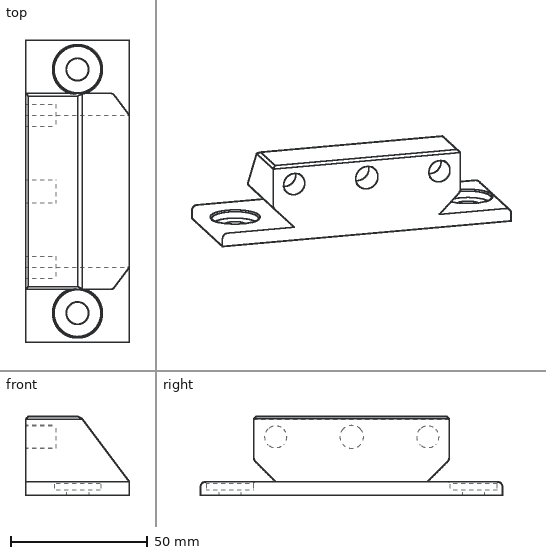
import cadquery as cq

WIDTH = 38.1
LENGTH = 111.0
HEIGHT = 29.0
PLATE_THICKNESS = 5.0
PLATE_EDGE_RADIUS = 2.0

BLOCK_LENGTH = 71.9
FOOT_LENGTH = 55.8
SHOULDER_RADIUS = 2.4
TOP_WIDTH = 20.1
TOP_CHAMFER = 1.0

MOUNT_SPACING = 89.5
MOUNT_DIAMETER = 8.1
COUNTERBORE_DIAMETER = 17.2
COUNTERBORE_DEPTH = 3.0
COUNTERBORE_CHAMFER = 0.5

SIDE_HOLE_HEIGHT = 21.5
SIDE_HOLE_DEPTH = 11.1
OUTER_HOLE_DIAMETER = 8.1
MIDDLE_HOLE_DIAMETER = 8.5


def make_plate():
    plate = cq.Workplane("XY").box(WIDTH, LENGTH, PLATE_THICKNESS, centered=(False, True, False))
    return plate.faces(">Z").edges("|X").fillet(PLATE_EDGE_RADIUS)


def make_block():
    half_foot = FOOT_LENGTH / 2
    half_block = BLOCK_LENGTH / 2
    shoulder_z = PLATE_THICKNESS + half_block - half_foot
    body = (
        cq.Workplane("YZ")
        .moveTo(-half_foot, 0)
        .lineTo(half_foot, 0)
        .lineTo(half_foot, PLATE_THICKNESS)
        .lineTo(half_block, shoulder_z)
        .lineTo(half_block, HEIGHT)
        .lineTo(-half_block, HEIGHT)
        .lineTo(-half_block, shoulder_z)
        .lineTo(-half_foot, PLATE_THICKNESS)
        .close()
        .extrude(WIDTH)
    )
    shoulder_edges = cq.selectors.BoxSelector(
        (-WIDTH, -LENGTH, shoulder_z - SHOULDER_RADIUS), (2 * WIDTH, LENGTH, shoulder_z + SHOULDER_RADIUS)
    )
    body = body.edges("|X").edges(shoulder_edges).fillet(SHOULDER_RADIUS)
    slope_body = (
        cq.Workplane("XZ")
        .moveTo(0, 0)
        .lineTo(WIDTH, 0)
        .lineTo(WIDTH, PLATE_THICKNESS)
        .lineTo(TOP_WIDTH, HEIGHT)
        .lineTo(0, HEIGHT)
        .close()
        .extrude(BLOCK_LENGTH / 2, both=True)
    )
    block = body.intersect(slope_body)
    return block.faces(">Z").edges().chamfer(TOP_CHAMFER)


def make_mounting_hole(y):
    """Through hole, counterbore and lead-in chamfer as one revolved cutter."""
    hole_radius = MOUNT_DIAMETER / 2
    bore_radius = COUNTERBORE_DIAMETER / 2
    return (
        cq.Workplane("XZ", origin=(WIDTH / 2, y, 0))
        .moveTo(0, 0)
        .lineTo(hole_radius, 0)
        .lineTo(hole_radius, PLATE_THICKNESS - COUNTERBORE_DEPTH)
        .lineTo(bore_radius, PLATE_THICKNESS - COUNTERBORE_DEPTH)
        .lineTo(bore_radius, PLATE_THICKNESS - COUNTERBORE_CHAMFER)
        .lineTo(bore_radius + COUNTERBORE_CHAMFER, PLATE_THICKNESS)
        .lineTo(0, PLATE_THICKNESS)
        .close()
        .revolve(360, (0, 0, 0), (0, 1, 0))
    )


def make_side_hole(y, diameter):
    return (
        cq.Workplane("YZ", origin=(0, y, SIDE_HOLE_HEIGHT))
        .circle(diameter / 2)
        .extrude(SIDE_HOLE_DEPTH)
    )


result = make_plate().union(make_block())

for side in (-1, 1):
    result = result.cut(make_mounting_hole(side * MOUNT_SPACING / 2))
    result = result.cut(make_side_hole(side * FOOT_LENGTH / 2, OUTER_HOLE_DIAMETER))

result = result.cut(make_side_hole(0, MIDDLE_HOLE_DIAMETER))